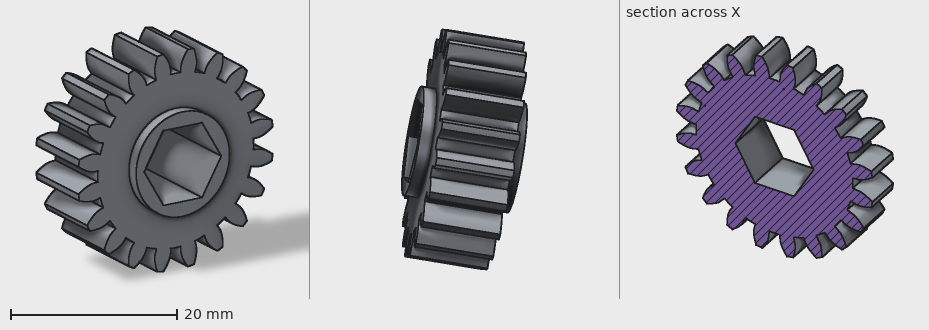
import cadquery as cq
import math

tooth_count = 20
module = 1.27
pressure_angle = math.radians(20)
addendum = module
dedendum = 1.25 * module
face_width = 9.525

hub_length = 12.7
hub_diameter = 13.335
hex_across_flats = 9.525

pitch_radius = module * tooth_count / 2
base_radius = pitch_radius * math.cos(pressure_angle)
tip_radius = pitch_radius + addendum
root_radius = pitch_radius - dedendum

tooth_pitch = 2 * math.pi / tooth_count
flank_intervals = 6


def involute(angle):
    """Involute function of a pressure angle, in radians."""
    return math.tan(angle) - angle


def polar(radius, angle):
    return (radius * math.cos(angle), radius * math.sin(angle))


def tooth_half_angle(radius):
    """Angle from the tooth centreline to the involute flank at a radius."""
    half_angle_at_pitch = tooth_pitch / 4
    local_pressure_angle = math.acos(min(1.0, base_radius / radius))
    return half_angle_at_pitch + involute(pressure_angle) - involute(local_pressure_angle)


def flank_points(tooth_angle, side):
    """Points on one flank, base circle to tip; side is -1 or +1."""
    points = []
    for i in range(flank_intervals + 1):
        radius = base_radius + (tip_radius - base_radius) * i / flank_intervals
        points.append(polar(radius, tooth_angle + side * tooth_half_angle(radius)))
    return points


def gear_outline():
    """Closed tooth outline; a tooth space is centred on each of the Y and Z axes.

    Each flank is one smooth curve that continues from the involute down to the root,
    where it is as wide in angle as at the base circle.
    """
    base_half_angle = tooth_half_angle(base_radius)
    first_tooth_angle = tooth_pitch / 2
    start = polar(root_radius, first_tooth_angle - base_half_angle)
    outline = cq.Workplane("YZ", origin=(-face_width / 2, 0, 0)).moveTo(*start)
    for i in range(tooth_count):
        tooth_angle = first_tooth_angle + i * tooth_pitch
        rising = flank_points(tooth_angle, -1)
        falling = flank_points(tooth_angle, 1)[::-1]
        space_middle = polar(root_radius, tooth_angle + tooth_pitch / 2)
        next_tooth_root = polar(root_radius, tooth_angle + tooth_pitch - base_half_angle)
        outline = outline.spline(rising, includeCurrent=True)
        outline = outline.threePointArc(polar(tip_radius, tooth_angle), falling[0])
        tooth_root = polar(root_radius, tooth_angle + base_half_angle)
        outline = outline.spline([*falling[1:], tooth_root], includeCurrent=True)
        outline = outline.threePointArc(space_middle, next_tooth_root)
    return outline.close()


def hub_plane():
    return cq.Workplane("YZ", origin=(-hub_length / 2, 0, 0))


def hub():
    return hub_plane().circle(hub_diameter / 2).extrude(hub_length)


def hex_bore():
    """Hexagonal prism with two corners on the Y axis."""
    across_corners = hex_across_flats / math.cos(math.pi / 6)
    return hub_plane().polygon(6, across_corners).extrude(hub_length)


gear = gear_outline().extrude(face_width)
result = gear.union(hub()).cut(hex_bore())